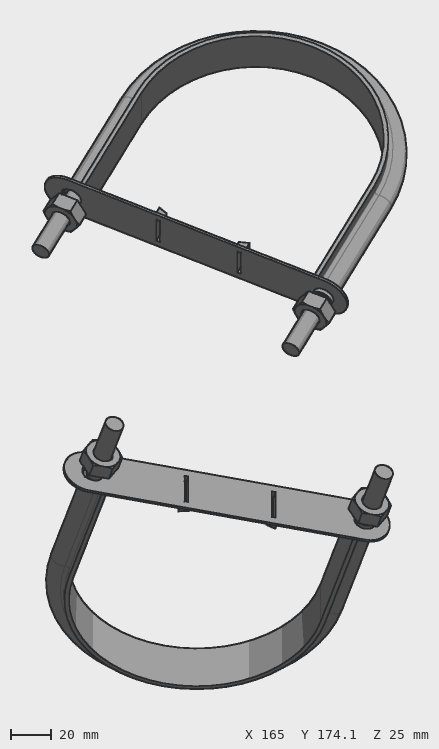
import cadquery as cq
import math


TOTAL_LENGTH = 174.1
ROD_RADIUS = 68.2
ROD_END_Y = -38.0

ROD_DIAMETER = 8.4
THREAD_DIAMETER = 9.2

SLEEVE_DIAMETER = 11.3
STRIP_HEIGHT = 25.0
STRIP_THICKNESS = 2.3
BLEND_RADIUS = 1.7

PLATE_LENGTH = 165.0
PLATE_THICKNESS = 1.4
PLATE_CENTER_X = -1.5
HOLE_DIAMETER = 10.8
HOLE_SHIFT = 1.2
COLLAR_DIAMETER = HOLE_DIAMETER
COLLAR_HEIGHT = 2.3

STOP_SPACING = 44.2
STOP_WIDTH = 5.0
STOP_HIGH_SIDE = 5.0
STOP_LOW_SIDE = 3.3
SLOT_WIDTH = 2.0
SLOT_LENGTH = 16.9

NUT_FLATS = 17.0
NUT_THICKNESS = 8.0
NUT_GAP = 6.3
NUT_BORE = 10.0
NUT_OFFSET = 68.0
NUT_CHAMFER = 0.5
NUT_CHAMFER_WIDTH = 1.2

SLEEVE_RADIUS = SLEEVE_DIAMETER / 2
BEND_CENTER_Y = TOTAL_LENGTH + ROD_END_Y - ROD_RADIUS - SLEEVE_RADIUS
PLATE_FRONT_Y = -PLATE_THICKNESS
NUT_REAR_Y = PLATE_FRONT_Y - NUT_GAP
NUT_FRONT_Y = NUT_REAR_Y - NUT_THICKNESS
SIDES = (-1, 1)


def cylinder(x, start_y, end_y, diameter):
    """Cylinder along Y, from start_y down to end_y."""
    plane = cq.Workplane("XZ", origin=(x, start_y, 0))
    return plane.circle(diameter / 2).extrude(start_y - end_y)


def section_plane(side=1):
    """XZ plane through the bend centre, with its origin on one leg axis and local x pointing outward."""
    return cq.Workplane(cq.Plane((side * ROD_RADIUS, BEND_CENTER_Y, 0), xDir=(side, 0, 0), normal=(0, -side, 0)))


def half_turn(profile):
    """Revolve a section of the right leg over the bend to the left leg."""
    return profile.revolve(180, (-ROD_RADIUS, 0), (-ROD_RADIUS, 1))


def make_rod():
    rod = half_turn(section_plane().circle(ROD_DIAMETER / 2))
    for side in SIDES:
        x = side * ROD_RADIUS
        rod = rod.union(cylinder(x, BEND_CENTER_Y, NUT_REAR_Y, ROD_DIAMETER))
        rod = rod.union(cylinder(x, NUT_REAR_Y, ROD_END_Y, THREAD_DIAMETER))
    return rod


def liner_section(side=1):
    """Sleeve and strip outline with the rod bore; the strip is tangent to the inside of the sleeve."""
    inner_face = -SLEEVE_RADIUS
    outer_face = inner_face + STRIP_THICKNESS
    half_height = STRIP_HEIGHT / 2
    blend_x = outer_face + BLEND_RADIUS
    blend_z = math.sqrt((SLEEVE_RADIUS + BLEND_RADIUS) ** 2 - blend_x ** 2)
    touch = SLEEVE_RADIUS / (SLEEVE_RADIUS + BLEND_RADIUS)
    touch_x = blend_x * touch
    touch_z = blend_z * touch
    blend_angle = (math.pi + math.atan2(-blend_z, -blend_x) % (2 * math.pi)) / 2
    mid_x = blend_x + BLEND_RADIUS * math.cos(blend_angle)
    mid_z = blend_z + BLEND_RADIUS * math.sin(blend_angle)
    return (
        section_plane(side)
        .circle(ROD_DIAMETER / 2)
        .moveTo(inner_face, -half_height)
        .lineTo(outer_face, -half_height)
        .lineTo(outer_face, -blend_z)
        .threePointArc((mid_x, -mid_z), (touch_x, -touch_z))
        .threePointArc((SLEEVE_RADIUS, 0), (touch_x, touch_z))
        .threePointArc((mid_x, mid_z), (outer_face, blend_z))
        .lineTo(outer_face, half_height)
        .lineTo(inner_face, half_height)
        .close()
    )


def make_liner():
    liner = half_turn(liner_section())
    for side in SIDES:
        liner = liner.union(liner_section(side).extrude(side * BEND_CENTER_Y))
    return liner


def stop_prism(side, width, low_y, high_y, base_y, length):
    """Block on one side of the plate centre whose sloped top rises outward."""
    center_x = side * STOP_SPACING / 2
    inner_x = center_x - side * width / 2
    outer_x = center_x + side * width / 2
    outline = [(inner_x, base_y), (outer_x, base_y), (outer_x, high_y), (inner_x, low_y)]
    return cq.Workplane("XY").polyline(outline).close().extrude(length / 2, both=True)


def add_stop(plate, side):
    """Raise one hollow stop, with even walls, over a slot through the plate."""
    wall = (STOP_WIDTH - SLOT_WIDTH) / 2
    block = stop_prism(side, STOP_WIDTH, STOP_LOW_SIDE, STOP_HIGH_SIDE, 0, SLOT_LENGTH + 2 * wall)
    slope = (STOP_HIGH_SIDE - STOP_LOW_SIDE) / STOP_WIDTH
    roof_middle = (STOP_LOW_SIDE + STOP_HIGH_SIDE) / 2 - wall
    roof_rise = slope * SLOT_WIDTH / 2
    slot = stop_prism(
        side, SLOT_WIDTH, roof_middle - roof_rise, roof_middle + roof_rise, PLATE_FRONT_Y, SLOT_LENGTH
    )
    return plate.union(block).cut(slot)


def make_plate():
    plate = (
        cq.Workplane("XZ", origin=(PLATE_CENTER_X, 0, 0))
        .slot2D(PLATE_LENGTH, STRIP_HEIGHT)
        .extrude(PLATE_THICKNESS)
    )
    collar_end_y = PLATE_FRONT_Y - COLLAR_HEIGHT
    plate = plate.union(cylinder(ROD_RADIUS, 0, collar_end_y, COLLAR_DIAMETER))
    plate = plate.cut(cylinder(ROD_RADIUS, 0, collar_end_y, ROD_DIAMETER))
    plate = plate.cut(cylinder(-ROD_RADIUS - HOLE_SHIFT, 0, PLATE_FRONT_Y, HOLE_DIAMETER))
    for side in SIDES:
        plate = add_stop(plate, side)
    return plate


def make_nut(side):
    """Hexagon nut with flats facing up and down and a conical chamfer on its outer face."""
    x = side * NUT_OFFSET
    corner_diameter = NUT_FLATS / math.cos(math.pi / 6)
    nut = cq.Workplane("XZ", origin=(x, NUT_REAR_Y, 0)).polygon(6, corner_diameter).extrude(NUT_THICKNESS)
    envelope = cylinder(x, NUT_REAR_Y, NUT_FRONT_Y, corner_diameter)
    envelope = envelope.faces("<Y").chamfer(NUT_CHAMFER, NUT_CHAMFER_WIDTH)
    return nut.intersect(envelope).cut(cylinder(x, NUT_REAR_Y, NUT_FRONT_Y, NUT_BORE))


rod = make_rod()
liner = make_liner()
plate = make_plate()
nuts = [make_nut(side) for side in SIDES]

result = cq.Compound.makeCompound([rod.val(), liner.val(), plate.val(), *[nut.val() for nut in nuts]])